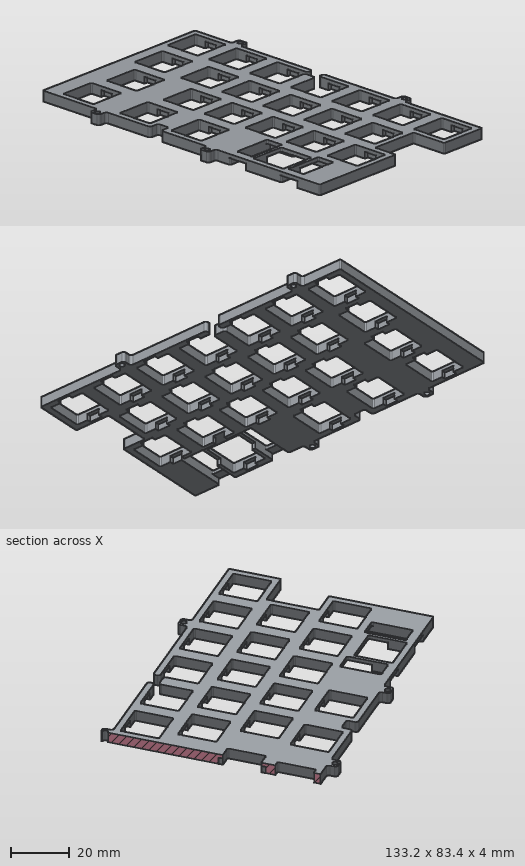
import cadquery as cq

UNIT = 19.05
KEY_ROWS = 4
THICKNESS = 4.0
SKIN = 1.5
RECESS_DEPTH = THICKNESS - SKIN
EDGE_CLEARANCE = 0.05
CORNER_RADIUS = 0.5
EDGE_RADIUS = 1.0

TOP_ROW_END = 7.0
SECOND_ROW_END = 6.25
LOWER_ROWS_END = 6.75

STABILISED_KEY = 5.375
KEY_CENTRES = [
    [0.5 + i for i in range(7)],
    [0.625] + [1.75 + i for i in range(5)],
    [0.875] + [2.25 + i for i in range(5)],
    [0.75, 2.125, 3.375, STABILISED_KEY],
]
SWITCH_SIZE = 14.0
CLIP_WIDTH = 5.0
CLIP_DEPTH = 1.5

STABILISER_SPACING = 23.8
SLOT_WIDTH = 7.0
SLOT_LENGTH = 15.0
SLOT_OFFSET = 1.5
WIRE_POCKET_BOTTOM = 0.0
WIRE_POCKET_TOP = 10.6

TOP_TAB_CENTRES = [1.0 * UNIT, 5.0 * UNIT]
BOTTOM_TAB_CENTRES = [1.4375 * UNIT, 78.3]
TAB_WIDTH = 4.1
TAB_LENGTH = 3.65
SCREW_DIAMETER = 2.0
SCREW_EDGE_DISTANCE = 1.5

NOTCH_WIDTH = UNIT - SWITCH_SIZE
NOTCH_DEPTH = 4.0
TOP_NOTCH_CENTRE = 3.0 * UNIT
BOTTOM_NOTCH_CENTRE = 2.75 * UNIT

SELECTION_MARGIN = 0.1


def row_centre(row):
    return (KEY_ROWS - row - 0.5) * UNIT


PLATE_TOP = KEY_ROWS * UNIT - EDGE_CLEARANCE
PLATE_BOTTOM = EDGE_CLEARANCE
PLATE_LEFT = EDGE_CLEARANCE
SWITCHES = [
    (centre * UNIT, row_centre(row))
    for row, centres in enumerate(KEY_CENTRES)
    for centre in centres
]
STABILISED_X = STABILISED_KEY * UNIT
STABILISED_Y = row_centre(KEY_ROWS - 1)
SLOT_CENTRES = [STABILISED_X + side * STABILISER_SPACING / 2 for side in (-1, 1)]
SLOT_Y = STABILISED_Y + SLOT_OFFSET

TABS = [(x, PLATE_TOP, 1) for x in TOP_TAB_CENTRES]
TABS += [(x, PLATE_BOTTOM, -1) for x in BOTTOM_TAB_CENTRES]
NOTCHES = [(TOP_NOTCH_CENTRE, PLATE_TOP), (BOTTOM_NOTCH_CENTRE, PLATE_BOTTOM)]


def block(x, y, width, length, height=THICKNESS):
    """Block centred on (x, y), standing on the underside plane."""
    return cq.Workplane("XY").center(x, y).rect(width, length).extrude(height)


def edges_near(x, y, width, length):
    """Selector for the edges whose middle lies in the given area."""
    half_width = width / 2 + SELECTION_MARGIN
    half_length = length / 2 + SELECTION_MARGIN
    return cq.selectors.BoxSelector(
        (x - half_width, y - half_length, 0),
        (x + half_width, y + half_length, THICKNESS),
    )


def make_base():
    """Stepped plate: the second row ends short of the rows around it."""
    top_end, second_end, lower_end = (
        units * UNIT - EDGE_CLEARANCE for units in (TOP_ROW_END, SECOND_ROW_END, LOWER_ROWS_END)
    )
    second_row_top = (KEY_ROWS - 1) * UNIT + EDGE_CLEARANCE
    second_row_bottom = (KEY_ROWS - 2) * UNIT - EDGE_CLEARANCE
    points = [
        (PLATE_LEFT, PLATE_BOTTOM),
        (lower_end, PLATE_BOTTOM),
        (lower_end, second_row_bottom),
        (second_end, second_row_bottom),
        (second_end, second_row_top),
        (top_end, second_row_top),
        (top_end, PLATE_TOP),
        (PLATE_LEFT, PLATE_TOP),
    ]
    return cq.Workplane("XY").polyline(points).close().extrude(THICKNESS)


def add_tabs(plate):
    for x, edge, _ in TABS:
        plate = plate.union(block(x, edge, TAB_WIDTH, 2 * TAB_LENGTH))
    return plate


def cut_notches(plate):
    for x, edge in NOTCHES:
        plate = plate.cut(block(x, edge, NOTCH_WIDTH, 2 * NOTCH_DEPTH))
    return plate


def cut_openings(plate):
    """Square switch openings and the two stabiliser slots, through the plate."""
    for x, y in SWITCHES:
        plate = plate.cut(block(x, y, SWITCH_SIZE, SWITCH_SIZE))
    for x in SLOT_CENTRES:
        plate = plate.cut(block(x, SLOT_Y, SLOT_WIDTH, SLOT_LENGTH))
    return plate


def round_upright_edges(plate):
    """Larger rounds on tabs and notches, smaller ones on all other upright edges."""
    areas = [edges_near(x, edge, TAB_WIDTH, 2 * TAB_LENGTH) for x, edge, _ in TABS]
    areas += [edges_near(x, edge, NOTCH_WIDTH, 2 * NOTCH_DEPTH) for x, edge in NOTCHES]
    tabs_and_notches = areas[0]
    for area in areas[1:]:
        tabs_and_notches = tabs_and_notches + area
    upright = cq.selectors.ParallelDirSelector(cq.Vector(0, 0, 1))
    plate = plate.edges(upright - tabs_and_notches).fillet(CORNER_RADIUS)
    return plate.edges(upright & tabs_and_notches).fillet(EDGE_RADIUS)


def drill_screw_holes(plate):
    for x, edge, outward in TABS:
        y = edge + outward * (TAB_LENGTH - SCREW_EDGE_DISTANCE)
        plate = plate.cut(cq.Workplane("XY").center(x, y).circle(SCREW_DIAMETER / 2).extrude(THICKNESS))
    return plate


def recess_clips(plate):
    """Underside relief for the clips on the two Y sides of every switch."""
    for x, y in SWITCHES:
        plate = plate.cut(block(x, y, CLIP_WIDTH, SWITCH_SIZE + 2 * CLIP_DEPTH, RECESS_DEPTH))
    return plate


def recess_stabiliser(plate):
    """Underside channels from the slots to the bottom edge, and the pocket for the wire."""
    channel_length = SLOT_Y - PLATE_BOTTOM
    for x in SLOT_CENTRES:
        channel = block(x, PLATE_BOTTOM + channel_length / 2, SLOT_WIDTH, channel_length, RECESS_DEPTH)
        plate = plate.cut(channel)
        mouth = edges_near(x, PLATE_BOTTOM, SLOT_WIDTH, 0)
        plate = plate.edges("|Z").edges(mouth).fillet(CORNER_RADIUS)

    pocket = block(
        STABILISED_X,
        STABILISED_Y + (WIRE_POCKET_TOP + WIRE_POCKET_BOTTOM) / 2,
        STABILISER_SPACING + SLOT_WIDTH,
        WIRE_POCKET_TOP - WIRE_POCKET_BOTTOM,
        RECESS_DEPTH,
    )
    return plate.cut(pocket)


result = make_base()
result = add_tabs(result)
result = cut_notches(result)
result = cut_openings(result)
result = round_upright_edges(result)
result = drill_screw_holes(result)
result = recess_clips(result)
result = recess_stabiliser(result)